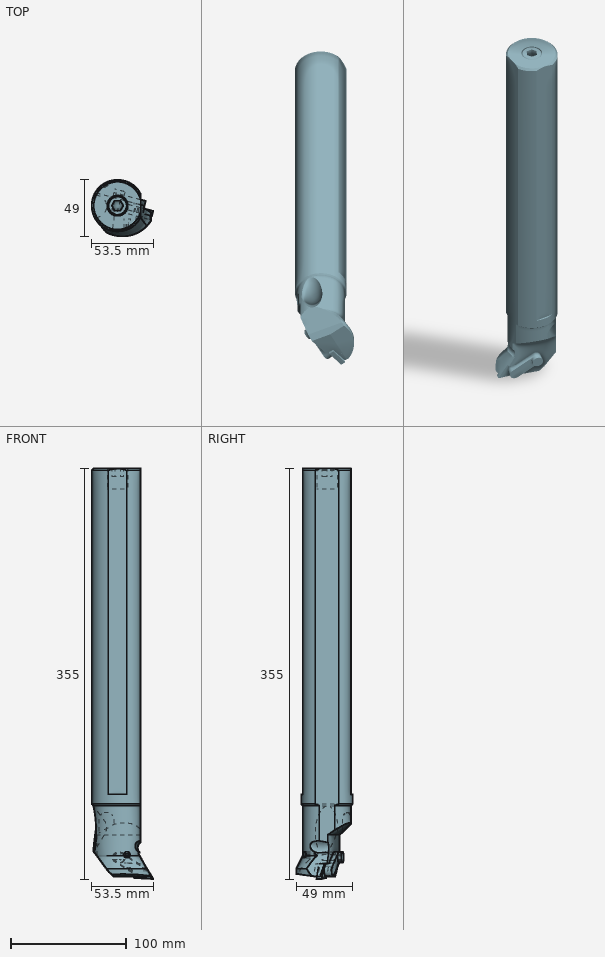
import cadquery as cq
import math


BAR_LENGTH = 355.0
SHANK_RADIUS = 22.5
SHANK_BOTTOM = 63.2
SHANK_CHAMFER = 1.8
SIDE_FLAT_OFFSET = 21.0
SIDE_FLAT_BOTTOM = 73.0
BACK_FLAT_OFFSET = 20.0
NECK_RADIUS = 21.0
NECK_BOTTOM = 20.2

HEAD_RADIUS = 29.0
HEAD_CENTER = (4.3, 2.5)
HEAD_CONE_BOTTOM = 9.0
UNDERSIDE_HEIGHT = 2.0
UNDERSIDE_TILT = 8.0
UNDERSIDE_PIVOT_Y = -10.5
OUTER_SIDE = [(17.8, 22.7), (29.0, 2.0)]
RELIEF_SIDE = [(-21.3, 24.5), (-7.8, 6.5), (-3.2, 2.0)]
CUT_REACH = 106.5
CUT_BOTTOM = -3.5

TIP = (31.0, -4.5, 0.0)
RAKE_TILT = 15.0
INSERT_EDGE = 15.5
INSERT_ANGLE = 55.0
LEAD_ANGLE = 3.0
INSERT_THICKNESS = 4.5
SHIM_THICKNESS = 3.2

POCKET_FLOOR = 2.5
POCKET_FLOOR_TOP = 38.5
RAMP_HEIGHT = 42.5
RAMP_ANGLE = 55.0
FACET_OFFSET = 19.5
FACET_TURN = 30.0
FACET_RADIUS = 8.0
FACET_TOP = 58.0
FACET_LENGTH = 28.5

SCOOP_RADIUS = 9.5
SCOOP_CENTER = (-19.0, -0.5, 44.7)
SCOOP_ENDS = [(-32.3, 0.5, 62.5), (-31.5, -5.7, 23.5)]
NOTCH_RADIUS = 5.7
NOTCH_CENTER = (21.0, -14.2, 28.5)
NOTCH_DIRECTION = (0.15, 1.0, -0.1)
NOTCH_LEAD = 14.2

CLAMP_WIDTH = 9.2
CLAMP_TOP = 6.7
CLAMP_NOSE_PLACE = (-13.0, 7.0)
CLAMP_SCREW_PLACE = (-32.5, 18.8)
CLAMP_SCREW_HEAD_RADIUS = 4.5
CLAMP_SCREW_HEAD_HEIGHT = 3.2
CLAMP_SCREW_RADIUS = 2.5
CLAMP_SCREW_DEPTH = 10.5
SET_SCREW_X = 8.0
SET_SCREW_Z = 21.0
SET_SCREW_RADIUS = 2.65
SET_SCREW_OUTER_Y = -18.5
SET_SCREW_LENGTH = 7.0
SET_SCREW_SOCKET = 2.5
SET_SCREW_SOCKET_DEPTH = 3.5
PLUG_RADIUS = 9.0
PLUG_RIM_CHAMFER = 1.0
PLUG_LENGTH = 17.8
PLUG_SOCKET = 10.0
PLUG_SOCKET_DEPTH = 7.0


def seat_plane(height):
    """Plane parallel to the rake face, raised by height; its normal points into the bar."""
    tilt = math.radians(RAKE_TILT)
    origin = (TIP[0] + height * math.sin(tilt), TIP[1] + height * math.cos(tilt), TIP[2])
    return cq.Plane(
        origin=origin,
        xDir=(math.cos(tilt), -math.sin(tilt), 0),
        normal=(-math.sin(tilt), -math.cos(tilt), 0),
    )


def polar(length, degrees):
    angle = math.radians(degrees)
    return (length * math.cos(angle), length * math.sin(angle))


def insert_outline():
    """Rhombus of the cutting insert, starting at its tip."""
    low = polar(INSERT_EDGE, 180 - LEAD_ANGLE)
    high = polar(INSERT_EDGE, 180 - LEAD_ANGLE - INSERT_ANGLE)
    far = (low[0] + high[0], low[1] + high[1])
    return [(0, 0), low, far, high]


def insert_block(top, bottom):
    """Prism of the insert outline between two heights above the rake face."""
    return cq.Workplane(seat_plane(top)).polyline(insert_outline()).close().extrude(top - bottom)


def seat_cylinder(radius, place, top, bottom):
    return cq.Workplane(seat_plane(top)).center(*place).circle(radius).extrude(top - bottom)


def xz_prism(points):
    """Prism of an X, Z outline, through the whole bar along Y."""
    return cq.Workplane("XZ").polyline(points).close().extrude(CUT_REACH, both=True)


def shank():
    body = (
        cq.Workplane("XY").workplane(offset=SHANK_BOTTOM)
        .circle(SHANK_RADIUS).extrude(BAR_LENGTH - SHANK_BOTTOM)
        .faces("<Z or >Z").chamfer(SHANK_CHAMFER)
    )
    flat_length = BAR_LENGTH - SIDE_FLAT_BOTTOM
    for side in (-1, 1):
        cutter = cq.Workplane("XY").box(CUT_REACH, CUT_REACH, flat_length, centered=(True, True, False))
        shift = side * (SIDE_FLAT_OFFSET + CUT_REACH / 2)
        body = body.cut(cutter.translate((0, shift, SIDE_FLAT_BOTTOM)))
    return body


def neck_and_head():
    neck = (
        cq.Workplane("XY").workplane(offset=NECK_BOTTOM)
        .circle(NECK_RADIUS).extrude(SHANK_BOTTOM + SHANK_CHAMFER - NECK_BOTTOM)
    )
    cone = (
        cq.Workplane("XY").workplane(offset=NECK_BOTTOM).circle(NECK_RADIUS)
        .workplane(offset=HEAD_CONE_BOTTOM - NECK_BOTTOM).center(*HEAD_CENTER).circle(HEAD_RADIUS)
        .loft(ruled=True)
    )
    disc = cq.Workplane("XY").center(*HEAD_CENTER).circle(HEAD_RADIUS).extrude(HEAD_CONE_BOTTOM)
    return neck.union(cone).union(disc)


def back_flat_cut():
    """Removes everything beyond the +X flat, down to the start of the outer head side."""
    height = BAR_LENGTH - OUTER_SIDE[0][1]
    cutter = cq.Workplane("XY").box(CUT_REACH, CUT_REACH, height, centered=(False, True, False))
    return cutter.translate((BACK_FLAT_OFFSET, 0, OUTER_SIDE[0][1]))


def outer_side_cut():
    (x_top, z_top), (x_low, z_low) = OUTER_SIDE
    x_bottom = x_low + (x_low - x_top) * z_low / (z_top - z_low)
    return xz_prism([(x_top, z_top), (x_bottom, 0), (CUT_REACH, 0), (CUT_REACH, z_top)])


def relief_side_cut():
    """Removes the lower -X corner; the upper relief edge is drawn on until it is clear of the bar."""
    (x_top, z_top), (x_low, z_low) = RELIEF_SIDE[:2]
    z_far = z_top + (x_top + CUT_REACH) * (z_top - z_low) / (x_low - x_top)
    last_x = RELIEF_SIDE[-1][0]
    return xz_prism([
        (-CUT_REACH, z_far),
        *RELIEF_SIDE[1:],
        (last_x, CUT_BOTTOM),
        (-CUT_REACH, CUT_BOTTOM),
    ])


def underside_cut():
    """Flat underside, with a relief that rises towards -Y."""
    rise = CUT_REACH * math.tan(math.radians(UNDERSIDE_TILT))
    return (
        cq.Workplane("YZ")
        .polyline([
            (CUT_REACH, UNDERSIDE_HEIGHT),
            (UNDERSIDE_PIVOT_Y, UNDERSIDE_HEIGHT),
            (UNDERSIDE_PIVOT_Y - CUT_REACH, UNDERSIDE_HEIGHT + rise),
            (UNDERSIDE_PIVOT_Y - CUT_REACH, CUT_BOTTOM),
            (CUT_REACH, CUT_BOTTOM),
        ])
        .close().extrude(CUT_REACH, both=True)
    )


def chip_pocket_cut():
    """Space above the pocket floor, ending in a ramp at its upper end."""
    along = seat_plane(POCKET_FLOOR)
    side = cq.Plane(origin=along.origin, xDir=-along.zDir, normal=along.xDir)
    ramp_end = POCKET_FLOOR_TOP + RAMP_HEIGHT / math.tan(math.radians(RAMP_ANGLE))
    return (
        cq.Workplane(side)
        .polyline([
            (0, CUT_BOTTOM),
            (0, POCKET_FLOOR_TOP),
            (RAMP_HEIGHT, ramp_end),
            (RAMP_HEIGHT, CUT_BOTTOM),
        ])
        .close().extrude(CUT_REACH, both=True)
    )


def facet_cut():
    """Round-ended flat on the -X, +Y side of the neck, running down into the chip pocket."""
    turn = math.radians(FACET_TURN)
    outward = (-math.sin(turn), math.cos(turn), 0)
    plane = cq.Plane(
        origin=(FACET_OFFSET * outward[0], FACET_OFFSET * outward[1], FACET_TOP - FACET_RADIUS),
        xDir=(0, 0, 1),
        normal=outward,
    )
    slot_length = FACET_LENGTH + 2 * FACET_RADIUS
    slot = cq.Workplane(plane).center(-FACET_LENGTH / 2, 0).slot2D(slot_length, 2 * FACET_RADIUS)
    return slot.extrude(SHANK_RADIUS)


def scoop_cut():
    """Scoop on the -X side: two round grooves that meet in a ball and run out up and down."""
    start = cq.Vector(*SCOOP_CENTER)
    scoop = cq.Workplane("XY").sphere(SCOOP_RADIUS).translate(SCOOP_CENTER)
    for end in SCOOP_ENDS:
        path = cq.Vector(*end) - start
        groove = cq.Solid.makeCylinder(SCOOP_RADIUS, path.Length, start, path)
        scoop = scoop.union(cq.Workplane(obj=groove))
    return scoop


def notch_cut():
    """Round notch across the +X side, above the insert."""
    start = cq.Vector(*NOTCH_CENTER)
    direction = cq.Vector(*NOTCH_DIRECTION)
    groove = cq.Solid.makeCylinder(NOTCH_RADIUS, CUT_REACH, start - direction * NOTCH_LEAD, direction)
    return cq.Workplane(obj=groove)


def bar():
    body = shank().union(neck_and_head())
    for cutter in (
        back_flat_cut(), outer_side_cut(), relief_side_cut(), underside_cut(), chip_pocket_cut(),
        facet_cut(), scoop_cut(), notch_cut(),
        insert_block(POCKET_FLOOR, -INSERT_THICKNESS - SHIM_THICKNESS),
        seat_cylinder(CLAMP_SCREW_RADIUS, CLAMP_SCREW_PLACE, POCKET_FLOOR, POCKET_FLOOR - CLAMP_SCREW_DEPTH),
        set_screw_blank(-SHANK_RADIUS),
        plug_blank(),
    ):
        body = body.cut(cutter)
    return body


def cutting_insert():
    return insert_block(0, -INSERT_THICKNESS)


def shim():
    """Shim below the insert, trimmed flush with the head."""
    block = insert_block(-INSERT_THICKNESS, -INSERT_THICKNESS - SHIM_THICKNESS)
    return block.cut(underside_cut()).cut(outer_side_cut())


def clamp_slab(top, bottom):
    """Round-ended slab from the clamp screw to the nose, between two heights above the rake face."""
    run_u = CLAMP_NOSE_PLACE[0] - CLAMP_SCREW_PLACE[0]
    run_z = CLAMP_NOSE_PLACE[1] - CLAMP_SCREW_PLACE[1]
    middle = (CLAMP_SCREW_PLACE[0] + run_u / 2, CLAMP_SCREW_PLACE[1] + run_z / 2)
    slant = math.degrees(math.atan2(run_z, run_u))
    length = math.hypot(run_u, run_z) + CLAMP_WIDTH
    slab = cq.Workplane(seat_plane(top)).center(*middle).slot2D(length, CLAMP_WIDTH, slant)
    return slab.extrude(top - bottom)


def clamp():
    """Clamp on the pocket floor, with a foot that fills the seat above the insert."""
    hole = seat_cylinder(CLAMP_SCREW_RADIUS, CLAMP_SCREW_PLACE, CLAMP_TOP, POCKET_FLOOR)
    foot = clamp_slab(POCKET_FLOOR, 0).intersect(insert_block(POCKET_FLOOR, 0))
    return clamp_slab(CLAMP_TOP, POCKET_FLOOR).union(foot).cut(hole)


def clamp_screw():
    head_top = CLAMP_TOP + CLAMP_SCREW_HEAD_HEIGHT
    head = seat_cylinder(CLAMP_SCREW_HEAD_RADIUS, CLAMP_SCREW_PLACE, head_top, CLAMP_TOP)
    stem = seat_cylinder(CLAMP_SCREW_RADIUS, CLAMP_SCREW_PLACE, CLAMP_TOP, POCKET_FLOOR - CLAMP_SCREW_DEPTH)
    return head.union(stem)


def set_screw_blank(outer_y):
    """Cylinder from the bottom of the screw hole out to outer_y."""
    inner_y = SET_SCREW_OUTER_Y + SET_SCREW_LENGTH
    return (
        cq.Workplane("XZ", origin=(SET_SCREW_X, inner_y, SET_SCREW_Z))
        .circle(SET_SCREW_RADIUS).extrude(inner_y - outer_y)
    )


def set_screw():
    blank = set_screw_blank(SET_SCREW_OUTER_Y)
    return blank.faces("<Y").workplane().polygon(6, SET_SCREW_SOCKET).cutBlind(-SET_SCREW_SOCKET_DEPTH)


def plug_blank():
    return (
        cq.Workplane("XY").workplane(offset=BAR_LENGTH)
        .circle(PLUG_RADIUS).extrude(-PLUG_LENGTH)
    )


def plug():
    return (
        plug_blank().faces(">Z").edges().chamfer(PLUG_RIM_CHAMFER)
        .faces(">Z").workplane().polygon(6, PLUG_SOCKET).cutBlind(-PLUG_SOCKET_DEPTH)
    )


result = cq.Compound.makeCompound([
    bar().val(),
    plug().val(),
    cutting_insert().val(),
    shim().val(),
    clamp().val(),
    clamp_screw().val(),
    set_screw().val(),
])